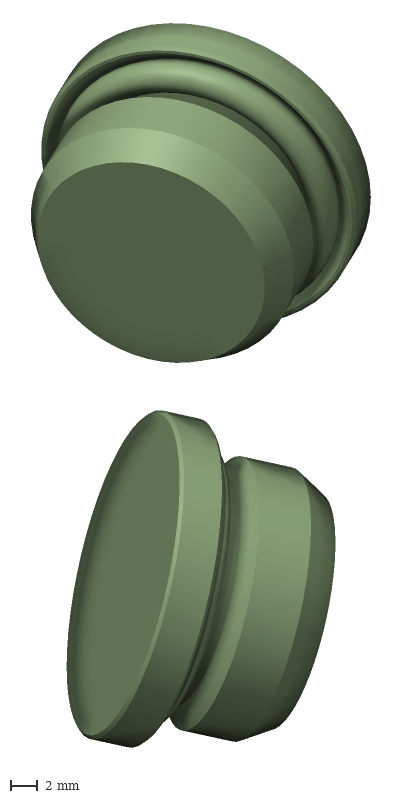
import cadquery as cq
import math

head_radius = 12.5
neck_radius = 8.75
shank_radius = 10.42
groove_mouth_radius = 12.0

total_length = 13.5
head_thickness = 3.5
neck_end = 6.0
nose_start = 11.05

head_chamfer = 0.25
relief_angle = 30.0
nose_angle = 30.0
groove_wall_angle = 45.0

ring_half_width = 1.2
ring_half_length = 1.35
ring_protrusion = 1.3
ring_center_radius = neck_radius + ring_half_width
ring_center = head_thickness + ring_protrusion - ring_half_length

groove_floor = ring_center - ring_half_length
groove_depth = head_thickness - groove_floor
groove_floor_radius = groove_mouth_radius - groove_depth * math.tan(math.radians(groove_wall_angle))
relief_length = (shank_radius - neck_radius) * math.tan(math.radians(relief_angle))
nose_length = total_length - nose_start
nose_radius = shank_radius - nose_length * math.tan(math.radians(nose_angle))


def revolve_about_y(section):
    """Turn a closed section drawn in the XY plane a full turn about the Y axis."""
    return section.revolve(360, (0, 0, 0), (0, 1, 0))


def make_plug():
    """Screw plug: chamfered head with a seal groove, neck, shank and tapered nose."""
    profile = [
        (0, 0),
        (head_radius - head_chamfer, 0),
        (head_radius, -head_chamfer),
        (head_radius, -(head_thickness - head_chamfer)),
        (head_radius - head_chamfer, -head_thickness),
        (groove_mouth_radius, -head_thickness),
        (groove_floor_radius, -groove_floor),
        (neck_radius, -groove_floor),
        (neck_radius, -neck_end),
        (shank_radius, -(neck_end + relief_length)),
        (shank_radius, -nose_start),
        (nose_radius, -total_length),
        (0, -total_length),
    ]
    return revolve_about_y(cq.Workplane("XY").polyline(profile).close())


def make_sealing_ring():
    """Ring of elliptical section seated in the groove around the neck."""
    center = cq.Vector(ring_center_radius, -ring_center)
    section = cq.Workplane("XY").moveTo(center.x, center.y).ellipse(ring_half_width, ring_half_length)
    return revolve_about_y(section)


plug = make_plug()
sealing_ring = make_sealing_ring()

result = cq.Compound.makeCompound([plug.val(), sealing_ring.val()])